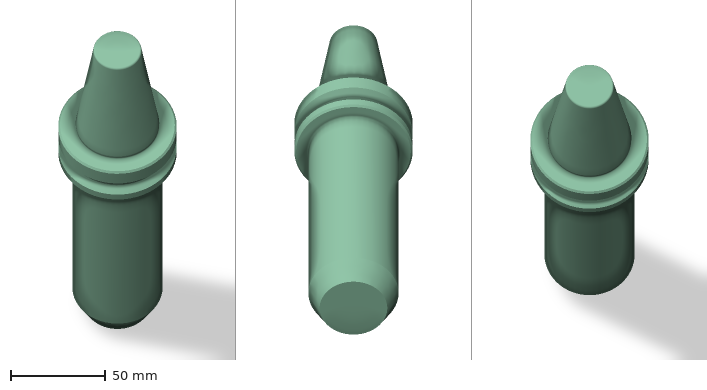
import cadquery as cq
import math


gauge_diameter = 44.45
taper_ratio = 7 / 24
taper_length = 65.4
tip_fillet = 1.0

neck_length = 2.0
neck_diameter = 44.0
collar_length = 0.5
neck_fillet = 0.5

flange_diameter = 63.0
flange_bottom = -27.0
flange_chamfer = 1.0
groove_diameter = 54.0
groove_center = -16.6
groove_mouth_width = 10.0
groove_flank_angle = 30.0
groove_root_fillet = 0.35

body_diameter = 48.0
body_fillet = 1.0
nose_diameter = 36.0
nose_half_angle = 25.0
part_bottom = -160.0

match_tolerance = 0.01

gauge_radius = gauge_diameter / 2
tip_radius = gauge_radius - taper_length * taper_ratio / 2
flange_radius = flange_diameter / 2
groove_radius = groove_diameter / 2
groove_flank_height = (flange_radius - groove_radius) * math.tan(math.radians(groove_flank_angle))
flange_top = -neck_length
groove_top = groove_center + groove_mouth_width / 2
groove_bottom = groove_center - groove_mouth_width / 2
groove_root_top = groove_top - groove_flank_height
groove_root_bottom = groove_bottom + groove_flank_height
neck_radius = neck_diameter / 2
body_radius = body_diameter / 2
nose_radius = nose_diameter / 2
nose_length = (body_radius - nose_radius) / math.tan(math.radians(nose_half_angle))


def shank_outline():
    """Half-profile of the taper, collar and neck, from the tip down."""
    return [
        (0, taper_length),
        (tip_radius, taper_length),
        (gauge_radius, 0),
        (gauge_radius, -collar_length),
        (neck_radius, -collar_length),
        (neck_radius, flange_top),
    ]


def flange_outline():
    """Half-profile of the chamfered flange and its groove, from the top down."""
    return [
        (flange_radius - flange_chamfer, flange_top),
        (flange_radius, flange_top - flange_chamfer),
        (flange_radius, groove_top),
        (groove_radius, groove_root_top),
        (groove_radius, groove_root_bottom),
        (flange_radius, groove_bottom),
        (flange_radius, flange_bottom + flange_chamfer),
        (flange_radius - flange_chamfer, flange_bottom),
    ]


def body_outline():
    """Half-profile of the body and its nose, from the flange down."""
    return [
        (body_radius, flange_bottom),
        (body_radius, part_bottom + nose_length),
        (nose_radius, part_bottom),
        (0, part_bottom),
    ]


def round_circle(solid, radius, height, fillet):
    """Fillet the circular edge of the given radius lying at the given height."""
    ring_selector = cq.selectors.BoxSelector(
        (-match_tolerance, -match_tolerance, height - match_tolerance),
        (match_tolerance, match_tolerance, height + match_tolerance),
    )
    circles = [
        edge
        for edge in solid.edges("%CIRCLE").edges(ring_selector).vals()
        if math.isclose(edge.radius(), radius, abs_tol=match_tolerance)
    ]
    return solid.newObject(circles).fillet(fillet)


outline = shank_outline() + flange_outline() + body_outline()
result = cq.Workplane("XZ").polyline(outline).close().revolve(360, (0, 0, 0), (0, 1, 0))

result = round_circle(result, tip_radius, taper_length, tip_fillet)
result = round_circle(result, neck_radius, flange_top, neck_fillet)
result = round_circle(result, groove_radius, groove_root_top, groove_root_fillet)
result = round_circle(result, groove_radius, groove_root_bottom, groove_root_fillet)
result = round_circle(result, body_radius, flange_bottom, body_fillet)